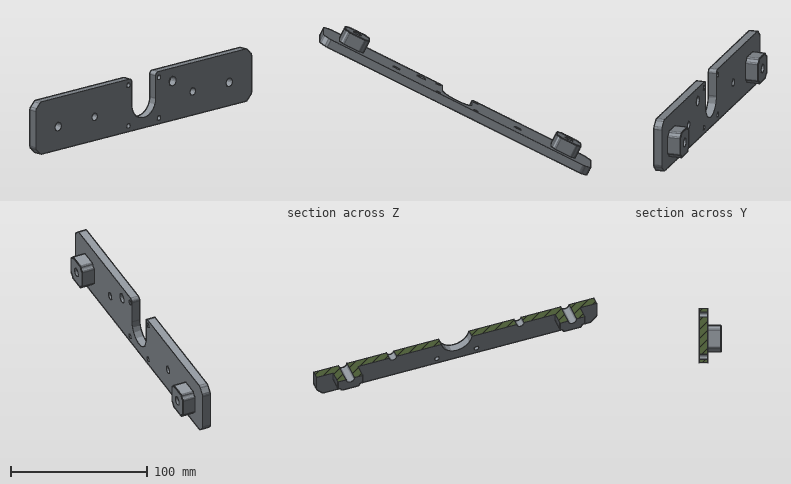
import cadquery as cq

plate_length = 220.0
plate_height = 40.0
plate_thickness = 6.4
plate_chamfer = 5.0
plate_blend_radius = 2.9

notch_width = 24.2
notch_radius = notch_width / 2
notch_center_z = plate_height / 2
notch_mouth_radius = 2.6

pad_size = 19.8
pad_height = 10.0
pad_offset_y = 87.1
pad_center_z = 17.8
pad_scallop_radius = 2.9
pad_lip_radius = 1.0
pad_face_chamfer = 0.5
pad_hole_diameter = 6.4

small_hole_diameter = 3.5
small_hole_pitch = 31.0
medium_hole_diameter = 5.5
medium_hole_offset_y = 50.0
medium_hole_z = 18.0
large_hole_diameter = 7.0
large_hole_y = 29.5
large_hole_z = 30.0


def drill(diameter, points):
    """Cylinders along X, long enough to pass through plate and pads."""
    return (
        cq.Workplane("YZ", origin=(-pad_height, 0, 0))
        .pushPoints(points)
        .circle(diameter / 2)
        .extrude(pad_height + plate_thickness)
    )


def make_plate():
    """Plate with blended chamfered corners and a round-bottomed notch in its top edge."""
    plate = (
        cq.Workplane("YZ", origin=(0, 0, plate_height / 2))
        .rect(plate_length, plate_height)
        .extrude(plate_thickness)
        .edges("|X")
        .chamfer(plate_chamfer)
        .edges("|X")
        .fillet(plate_blend_radius)
    )
    notch = (
        cq.Workplane("YZ")
        .moveTo(-notch_radius, plate_height)
        .lineTo(-notch_radius, notch_center_z)
        .threePointArc((0, notch_center_z - notch_radius), (notch_radius, notch_center_z))
        .lineTo(notch_radius, plate_height)
        .close()
        .extrude(plate_thickness)
    )
    mouth_edges = cq.selectors.BoxSelector(
        (0, -notch_width, plate_height - notch_mouth_radius),
        (plate_thickness, notch_width, plate_height + notch_mouth_radius),
    )
    return plate.cut(notch).edges("|X").edges(mouth_edges).fillet(notch_mouth_radius)


def make_pad(center_y):
    """Square pad with a concave scallop in each corner and rounded lips beside it."""
    base = cq.Workplane("YZ", origin=(-pad_height, center_y, pad_center_z))
    scallops = (
        base.rect(pad_size, pad_size, forConstruction=True)
        .vertices()
        .circle(pad_scallop_radius)
        .extrude(pad_height)
    )
    pad = base.rect(pad_size, pad_size).extrude(pad_height).cut(scallops)
    return pad.edges("|X").fillet(pad_lip_radius).faces("<X").chamfer(pad_face_chamfer)


result = make_plate()
for side in (-1, 1):
    result = result.union(make_pad(side * pad_offset_y))

small_hole_points = [
    (y * small_hole_pitch / 2, notch_center_z + z * small_hole_pitch / 2)
    for y in (-1, 1)
    for z in (-1, 1)
]
pad_hole_points = [(side * pad_offset_y, pad_center_z) for side in (-1, 1)]
medium_hole_points = [(side * medium_hole_offset_y, medium_hole_z) for side in (-1, 1)]

result = result.cut(drill(small_hole_diameter, small_hole_points))
result = result.cut(drill(pad_hole_diameter, pad_hole_points))
result = result.cut(drill(medium_hole_diameter, medium_hole_points))
result = result.cut(drill(large_hole_diameter, [(large_hole_y, large_hole_z)]))